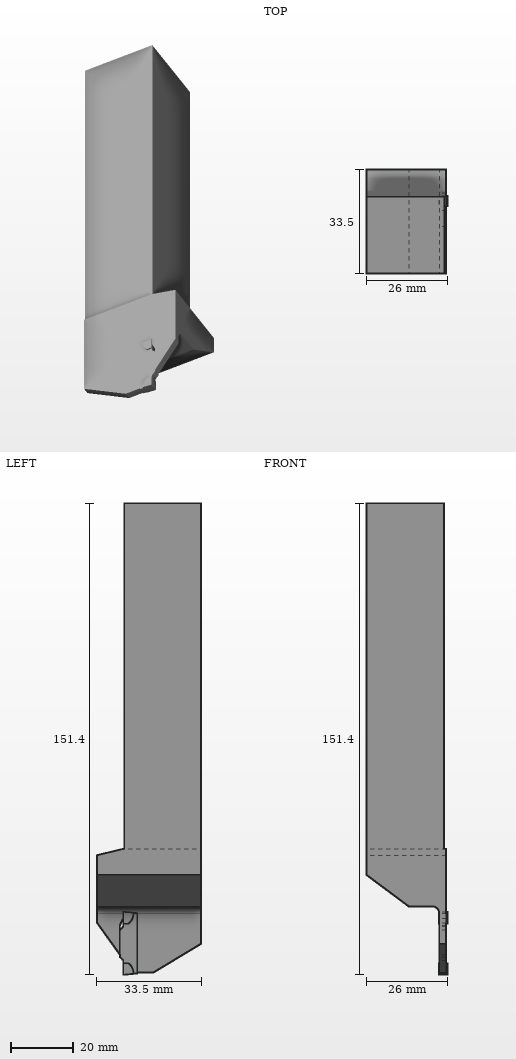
import cadquery as cq

shank_width = 25.0
shank_depth = 24.7
total_height = 151.4
head_right = 25.6
head_depth = 33.5
shoulder_z = 40.5
shoulder_outer_z = 38.5
bevel_start_z = 32.1
head_floor_z = 22.0
bevel_end_x = 13.6
blade_left = 23.3
blade_root_radius = 2.1

blade_bottom_z = 0.8
front_slope_z = 10.0
front_slope_end_y = 15.3
back_slope_z = 16.8
blade_tip_y = 24.7
blade_tip_z = 4.5

insert_top_z = 20.3
insert_mid_z = insert_top_z / 2
insert_seat_y = 20.5
insert_edge_y = 25.0
insert_back_y = 26.0
insert_end_relief = 0.5
back_half_length = 5.5
back_chamfer = insert_back_y - insert_edge_y
notch_top_z = 18.2
notch_bottom_z = 15.9

cutting_right = 26.0
cutting_width = 2.9
cutting_left = cutting_right - cutting_width
cutting_height = 3.8
cutting_flat_y = 23.3
cutting_arc_y = 22.2
cutting_arc_z = 2.5
cutting_inner_y = 21.6


def extrude_x(outline, x_start, x_end):
    """Extrude a closed YZ outline between two X positions."""
    return outline.extrude(x_end - x_start).translate((x_start, 0, 0))


def end_face_z(y):
    """Height of the relieved lower end face at a given Y."""
    return insert_end_relief * (insert_edge_y - y) / (insert_edge_y - insert_seat_y)


def make_insert_outline(back_points):
    """Insert side outline, closed with the given points along its back."""
    return (
        cq.Workplane("YZ")
        .moveTo(insert_edge_y, 0)
        .lineTo(insert_seat_y, insert_end_relief)
        .lineTo(insert_seat_y, insert_top_z - insert_end_relief)
        .lineTo(insert_edge_y, insert_top_z)
        .polyline(back_points, includeCurrent=True)
        .close()
    )


def make_cutting_head():
    """Lower cutting head with a rounded inner boundary."""
    outline = (
        cq.Workplane("YZ")
        .moveTo(insert_edge_y, 0)
        .lineTo(cutting_inner_y, end_face_z(cutting_inner_y))
        .threePointArc((cutting_arc_y, cutting_arc_z), (cutting_flat_y, cutting_height))
        .lineTo(insert_edge_y, cutting_height)
        .close()
    )
    return extrude_x(outline, cutting_left, cutting_right)


def make_insert():
    """Insert body with a chamfered back and a cutting head at each end."""
    back_points = [
        (insert_edge_y, insert_mid_z + back_half_length),
        (insert_back_y, insert_mid_z + back_half_length - back_chamfer),
        (insert_back_y, insert_mid_z - back_half_length + back_chamfer),
        (insert_edge_y, insert_mid_z - back_half_length),
    ]
    body = extrude_x(make_insert_outline(back_points), blade_left, head_right)
    lower_head = make_cutting_head()
    upper_head = lower_head.mirror("XY", (0, 0, insert_mid_z))
    return body.union(lower_head).union(upper_head)


def make_pocket():
    """Insert seat through the blade, with clearance above the insert back."""
    back_points = [
        (insert_edge_y, notch_top_z),
        (insert_back_y, notch_bottom_z),
        (insert_back_y, 0),
    ]
    return extrude_x(make_insert_outline(back_points), cutting_left, cutting_right)


def make_head():
    """Head and blade: the front profile trimmed by the side profile."""
    front_profile = (
        cq.Workplane("XZ")
        .moveTo(0, shoulder_z)
        .lineTo(0, bevel_start_z)
        .lineTo(bevel_end_x, head_floor_z)
        .lineTo(blade_left - blade_root_radius, head_floor_z)
        .radiusArc((blade_left, head_floor_z - blade_root_radius), blade_root_radius)
        .lineTo(blade_left, 0)
        .lineTo(head_right, 0)
        .lineTo(head_right, shoulder_z)
        .close()
        .extrude(-head_depth)
    )
    side_profile = cq.Workplane("YZ").polyline([
        (0, shoulder_z),
        (0, front_slope_z),
        (front_slope_end_y, blade_bottom_z),
        (insert_seat_y, blade_bottom_z),
        (blade_tip_y, blade_tip_z),
        (head_depth, back_slope_z),
        (head_depth, shoulder_outer_z),
        (shank_depth, shoulder_z),
    ]).close()
    return front_profile.intersect(extrude_x(side_profile, 0, head_right))


def make_holder():
    """Shank and head as one solid, with the insert pocket cut out."""
    shank_height = total_height - shoulder_z
    shank = cq.Workplane("XY").box(shank_width, shank_depth, shank_height, centered=False)
    shank = shank.translate((0, 0, shoulder_z))
    return shank.union(make_head()).cut(make_pocket())


holder = make_holder()
insert = make_insert()
result = cq.Compound.makeCompound([holder.val(), insert.val()])